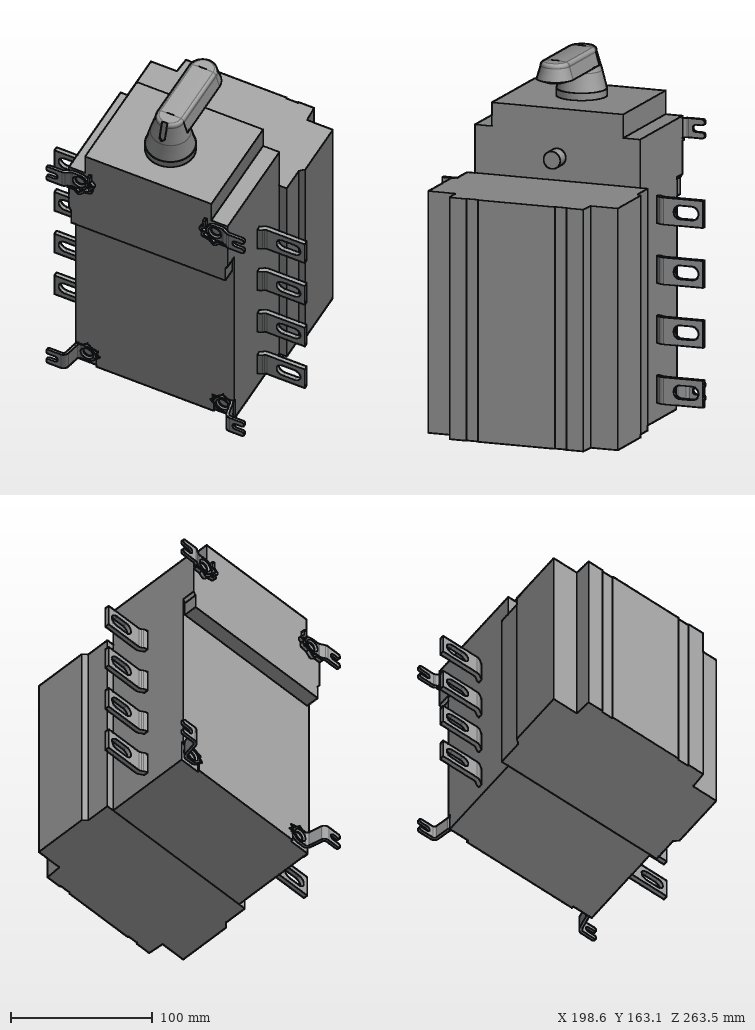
import cadquery as cq
import math


HOUSING_HALF = 63.0
HOUSING_FRONT = -69.8
DRIVE_FRONT = -80.4
SHOULDER_Z = 210.5
HEAD_Z = 227.5
HEAD_HALF = 50.0

APRON_HALF = 61.0
APRON_TOP_Z = 168.3
APRON_NARROW_Z = 165.7
APRON_BOTTOM_Z = 153.3

REAR_HEIGHT = 175.5
REAR_NECK_HALF = 68.8
REAR_HALF = 72.2
REAR_NECK_END = 19.0
REAR_WIDE_START = 22.0
REAR_WIDE_END = 65.0
RIDGE_BASE_HALF = 51.6
RIDGE_TOP_HALF = 50.8
RIDGE_END = 77.7
GROOVE_OFFSET = 33.7
GROOVE_WIDTH = 9.0
GROOVE_DEPTH = 0.8

POLES = 4
POLE_PITCH = 43.5
FIRST_POLE_Z = 22.7
TERMINAL_TIP = 99.3
TERMINAL_HEIGHT = 19.5
TERMINAL_THICKNESS = 3.5
TERMINAL_BEND_RADIUS = 3.2
TERMINAL_Y = -30.0
TERMINAL_ROOT_Y = -32.7
TERMINAL_BEND_OUTER = 67.7
TERMINAL_BEND_INNER = 64.0
TERMINAL_ROOT = HOUSING_HALF - 2.6
SLOT_X = 86.5
SLOT_LENGTH = 19.0
SLOT_HEIGHT = 10.0

FOOT_X = 53.7
LOWER_FOOT_Z = 10.8
UPPER_FOOT_Z = 201.3
FOOT_WIDTH = 14.0
FOOT_THICKNESS = 2.0
FOOT_BEND_RADIUS = 2.0
FOOT_TIP = 78.5
FOOT_FACE = -85.4
FORK_END = 69.3
FORK_WIDTH = 5.3
FORK_TIP_RADIUS = 2.0
SCREW_HOLE_DIAMETER = 7.5
SCREW_HEAD_DIAMETER = 10.3
UPPER_BEND_INNER = 60.0
UPPER_BEND_OUTER = 65.3
LOWER_BEND_INNER = 61.0
LOWER_BEND_OUTER = 64.3

SEAT_HALF = 7.0
SEAT_POINT_RADIUS = 10.0
SEAT_POINT_ANGLES = (0, 33, 90)
SEAT_DEPTH = 1.5
SEAT_WALL = 1.8
SEAT_WALL_HEIGHT = 3.0

HANDLE_Y = -45.8
LEVER_END_Y = 4.0
COLLAR_RADIUS = 18.2
COLLAR_HEIGHT = 5.3
HUB_RADIUS = 18.0
HUB_WAIST_RADIUS = 14.5
HUB_WAIST_Z = 246.3
LEVER_HALF = 13.5
LEVER_EDGE_Z = 250.3
LEVER_BELLY_HALF = 6.8
LEVER_BELLY_Z = 248.0
LEVER_RIM_HALF = 10.5
LEVER_RIM_Z = 259.8
LEVER_SHOULDER_HALF = 8.2
LEVER_SHOULDER_Z = 263.0
LEVER_TOP_Z = 263.5
LEVER_RIM_BULGE = 0.5
POINTER_WIDTH = 4.2
POINTER_DEPTH = 1.0
POINTER_TIP_Z = 248.2
SHAFT_RADIUS = 6.3
SHAFT_LENGTH = 10.5
SHAFT_Z = 192.3


def box(x_range, y_range, z_range):
    """Box between pairs of limits."""
    size = [high - low for low, high in (x_range, y_range, z_range)]
    corner = cq.Vector(x_range[0], y_range[0], z_range[0])
    return cq.Workplane(cq.Solid.makeBox(*size, corner))


def mirrored_pair(shape):
    """A shape on the +X side together with its copy on the -X side."""
    return [shape, shape.mirror("YZ")]


def bent_strip(path, thickness, bend_radius, width):
    """Strip along an XY centre line, with rounded bends, centred on Z = 0."""
    points = [cq.Vector(x, y) for x, y in path]
    runs = [(end - start).normalized() for start, end in zip(points, points[1:])]
    sides = [cq.Vector(-run.y, run.x) for run in runs]
    steps = [sides[0]]
    steps += [(a + b) / (1 + a.dot(b)) for a, b in zip(sides, sides[1:])]
    steps.append(sides[-1])
    steps = [step * (thickness / 2) for step in steps]
    left = [point + step for point, step in zip(points, steps)]
    right = [point - step for point, step in zip(points, steps)]
    outline = [(corner.x, corner.y) for corner in left + right[::-1]]
    strip = cq.Workplane("XY").polyline(outline).close().extrude(width / 2, both=True)
    for i in range(1, len(points) - 1):
        turns_left = runs[i].dot(sides[i - 1]) > 0
        inner, outer = (left[i], right[i]) if turns_left else (right[i], left[i])
        for corner, radius in ((inner, bend_radius), (outer, bend_radius + thickness)):
            strip = strip.edges(cq.NearestToPointSelector(corner.toTuple())).fillet(radius)
    return strip


def seat(inward, depth, margin=0):
    """Seat at the +X corner: its outline, grown by a margin, raised along -Y from Y = 0.

    The screw axis is at X = FOOT_X, Z = 0. The star points lean to the inward side in Z (+1 or -1),
    and on the other side the seat runs out to the end of the housing.
    """
    half = SEAT_HALF + margin
    end_distance = LOWER_FOOT_Z if inward > 0 else SHOULDER_Z - UPPER_FOOT_Z
    z_limits = sorted((inward * half, -inward * end_distance))
    inner_corner = (FOOT_X - half, 0, inward * half)
    pocket = box((FOOT_X - half, HOUSING_HALF), (-depth, 0), z_limits)
    pocket = pocket.edges("|Y").edges(cq.NearestToPointSelector(inner_corner)).fillet(half)

    side = SEAT_POINT_RADIUS / math.sqrt(2) + margin
    for angle in SEAT_POINT_ANGLES:
        kite = cq.Workplane("XZ").rect(side, side, centered=False).extrude(depth)
        if margin:
            kite = kite.edges("|Y and >X and >Z").fillet(margin)
        kite = kite.rotate((0, 0, 0), (0, 1, 0), angle - 135)
        if inward < 0:
            kite = kite.mirror("XY")
        pocket = pocket.union(kite.translate((FOOT_X, 0, 0)))
    return pocket


def make_terminal():
    """Slotted +X terminal bar of a pole at Z = 0, with its root inside the housing."""
    path = [
        (TERMINAL_ROOT, TERMINAL_ROOT_Y),
        (TERMINAL_BEND_INNER, TERMINAL_ROOT_Y),
        (TERMINAL_BEND_OUTER, TERMINAL_Y),
        (TERMINAL_TIP, TERMINAL_Y),
    ]
    bar = bent_strip(path, TERMINAL_THICKNESS, TERMINAL_BEND_RADIUS, TERMINAL_HEIGHT)
    slot = (
        cq.Workplane("XZ", origin=(SLOT_X, TERMINAL_Y, 0))
        .slot2D(SLOT_LENGTH, SLOT_HEIGHT)
        .extrude(TERMINAL_THICKNESS, both=True)
    )
    return bar.cut(slot)


def make_housing():
    """Pole section, drive section with its apron, foot seats and terminals."""
    housing = box((-HOUSING_HALF, HOUSING_HALF), (HOUSING_FRONT, 0), (0, SHOULDER_Z))
    housing = housing.union(box((-HEAD_HALF, HEAD_HALF), (DRIVE_FRONT, 0), (APRON_TOP_Z, HEAD_Z)))
    right_edge = [
        (APRON_HALF, APRON_BOTTOM_Z),
        (APRON_HALF, APRON_NARROW_Z),
        (HOUSING_HALF, APRON_TOP_Z),
        (HOUSING_HALF, SHOULDER_Z),
    ]
    left_edge = [(-x, z) for x, z in right_edge[::-1]]
    apron = cq.Workplane("XZ").polyline(right_edge + left_edge).close().extrude(-DRIVE_FRONT)
    housing = housing.union(apron)

    wall = seat(-1, SEAT_WALL_HEIGHT, SEAT_WALL).cut(seat(-1, SEAT_WALL_HEIGHT))
    wall = wall.translate((0, DRIVE_FRONT, UPPER_FOOT_Z))
    recess = seat(1, SEAT_DEPTH).translate((0, HOUSING_FRONT + SEAT_DEPTH, LOWER_FOOT_Z))
    for solid in mirrored_pair(wall):
        housing = housing.union(solid)
    for solid in mirrored_pair(recess):
        housing = housing.cut(solid)

    for pole in range(POLES):
        terminal = make_terminal().translate((0, 0, FIRST_POLE_Z + pole * POLE_PITCH))
        for solid in mirrored_pair(terminal):
            housing = housing.union(solid)
    return housing


def make_rear_block():
    """Stepped block behind the poles, with a drafted ridge and two shallow grooves."""
    right_edge = [
        (REAR_NECK_HALF, 0),
        (REAR_NECK_HALF, REAR_NECK_END),
        (REAR_HALF, REAR_WIDE_START),
        (REAR_HALF, REAR_WIDE_END),
        (RIDGE_BASE_HALF, REAR_WIDE_END),
        (RIDGE_TOP_HALF, RIDGE_END),
    ]
    left_edge = [(-x, y) for x, y in right_edge[::-1]]
    block = cq.Workplane("XY").polyline(right_edge + left_edge).close().extrude(REAR_HEIGHT)
    groove = box(
        (GROOVE_OFFSET - GROOVE_WIDTH / 2, GROOVE_OFFSET + GROOVE_WIDTH / 2),
        (RIDGE_END - GROOVE_DEPTH, RIDGE_END),
        (0, REAR_HEIGHT),
    )
    for solid in mirrored_pair(groove):
        block = block.cut(solid)
    return block


def make_collar():
    """Round collar between the drive head and the handle."""
    base = cq.Workplane("XY", origin=(0, HANDLE_Y, HEAD_Z))
    return base.circle(COLLAR_RADIUS).extrude(COLLAR_HEIGHT)


def close_top(outline):
    """Finish a handle half section from its rim over the rounded shoulder to the crown."""
    rim_middle = (
        (LEVER_RIM_HALF + LEVER_SHOULDER_HALF) / 2 + LEVER_RIM_BULGE,
        (LEVER_RIM_Z + LEVER_SHOULDER_Z) / 2 + LEVER_RIM_BULGE,
    )
    crown_rise = LEVER_TOP_Z - LEVER_SHOULDER_Z
    crown_radius = (LEVER_SHOULDER_HALF**2 + crown_rise**2) / (2 * crown_rise)
    half_angle = math.asin(LEVER_SHOULDER_HALF / crown_radius) / 2
    crown_middle = (
        crown_radius * math.sin(half_angle),
        LEVER_TOP_Z - crown_radius * (1 - math.cos(half_angle)),
    )
    return (
        outline.lineTo(LEVER_RIM_HALF, LEVER_RIM_Z)
        .threePointArc(rim_middle, (LEVER_SHOULDER_HALF, LEVER_SHOULDER_Z))
        .threePointArc(crown_middle, (0, LEVER_TOP_Z))
        .close()
    )


def lever_section(y):
    """Half section of the lever on the XZ plane at a given Y."""
    start = cq.Workplane("XZ", origin=(0, y, 0)).moveTo(0, LEVER_BELLY_Z)
    return close_top(start.lineTo(LEVER_BELLY_HALF, LEVER_BELLY_Z).lineTo(LEVER_HALF, LEVER_EDGE_Z))


def make_handle():
    """Conical hub with a rounded lever reaching rearwards, and a pointer groove in front."""
    base_z = HEAD_Z + COLLAR_HEIGHT
    axis = ((0, 0), (0, 1))
    hub_start = cq.Workplane("XZ", origin=(0, HANDLE_Y, 0)).moveTo(0, base_z)
    hub_side = hub_start.lineTo(HUB_RADIUS, base_z).lineTo(HUB_WAIST_RADIUS, HUB_WAIST_Z)
    hub = close_top(hub_side).revolve(360, *axis)
    lever_half = lever_section(LEVER_END_Y).extrude(LEVER_END_Y - HANDLE_Y)
    lever_end = lever_section(LEVER_END_Y).revolve(360, *axis)
    handle = hub.union(lever_end)
    for solid in mirrored_pair(lever_half):
        handle = handle.union(solid)

    slope = (HUB_WAIST_RADIUS - LEVER_RIM_HALF) / (LEVER_RIM_Z - HUB_WAIST_Z)
    floor_angle = math.degrees(math.atan(slope))
    tip_y = HANDLE_Y - HUB_WAIST_RADIUS + slope * (POINTER_TIP_Z - HUB_WAIST_Z)
    half = POINTER_WIDTH / 2
    length = LEVER_TOP_Z - POINTER_TIP_Z + 2.6
    pointer = (
        cq.Workplane("XZ")
        .polyline([(0, 0), (half, half), (half, length), (-half, length), (-half, half)])
        .close()
        .extrude(POINTER_DEPTH, both=True)
        .rotate((0, 0, 0), (1, 0, 0), -floor_angle)
        .translate((0, tip_y, POINTER_TIP_Z))
    )
    return handle.cut(pointer)


def make_shaft():
    """Operating shaft standing out of the back of the drive section."""
    base = cq.Workplane("XZ", origin=(0, 0, SHAFT_Z))
    return base.circle(SHAFT_RADIUS).extrude(-SHAFT_LENGTH)


def make_foot(seat_y, bend_inner, bend_outer, centre_z):
    """+X mounting foot: round-ended screw plate on its seat, stepped out to a forked tab."""
    plate_y = seat_y - FOOT_THICKNESS / 2
    tab_y = FOOT_FACE + FOOT_THICKNESS / 2
    path = [(FOOT_X, plate_y), (bend_inner, plate_y), (bend_outer, tab_y), (FOOT_TIP, tab_y)]
    foot = bent_strip(path, FOOT_THICKNESS, FOOT_BEND_RADIUS, FOOT_WIDTH)
    plate_front = cq.Workplane("XZ", origin=(FOOT_X, seat_y - FOOT_THICKNESS, 0))
    foot = foot.union(plate_front.circle(FOOT_WIDTH / 2).extrude(-FOOT_THICKNESS))

    slot_end = cq.Workplane("XZ", origin=(FORK_END + FORK_WIDTH / 2, tab_y, 0))
    fork = slot_end.circle(FORK_WIDTH / 2).extrude(FOOT_THICKNESS, both=True)
    fork = fork.union(
        box(
            (FORK_END + FORK_WIDTH / 2, FOOT_TIP),
            (tab_y - FOOT_THICKNESS, tab_y + FOOT_THICKNESS),
            (-FORK_WIDTH / 2, FORK_WIDTH / 2),
        )
    )
    foot = foot.cut(fork)
    foot = foot.faces(">X").edges("|Y").fillet(FORK_TIP_RADIUS)

    sink_depth = (SCREW_HEAD_DIAMETER - SCREW_HOLE_DIAMETER) / 2
    hole = plate_front.circle(SCREW_HOLE_DIAMETER / 2).extrude(-FOOT_THICKNESS)
    sink = cq.Solid.makeCone(
        SCREW_HEAD_DIAMETER / 2,
        SCREW_HOLE_DIAMETER / 2,
        sink_depth,
        cq.Vector(FOOT_X, seat_y - FOOT_THICKNESS, 0),
        cq.Vector(0, 1, 0),
    )
    return foot.cut(hole).cut(cq.Workplane(sink)).translate((0, 0, centre_z))


housing = make_housing()
rear_block = make_rear_block()
collar = make_collar()
handle = make_handle()
shaft = make_shaft()

feet = []
for foot in (
    make_foot(DRIVE_FRONT, UPPER_BEND_INNER, UPPER_BEND_OUTER, UPPER_FOOT_Z),
    make_foot(HOUSING_FRONT + SEAT_DEPTH, LOWER_BEND_INNER, LOWER_BEND_OUTER, LOWER_FOOT_Z),
):
    feet += [solid.val() for solid in mirrored_pair(foot)]

result = cq.Compound.makeCompound(
    [housing.val(), rear_block.val(), collar.val(), handle.val(), shaft.val(), *feet]
)